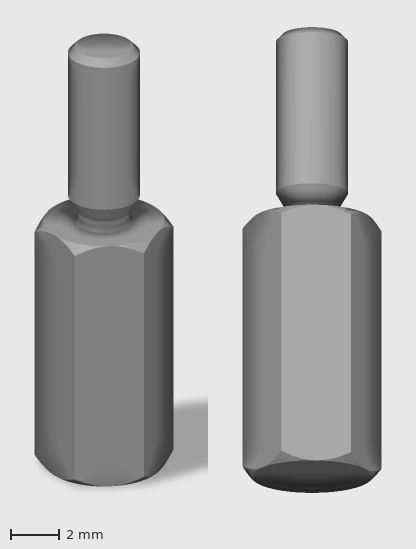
import cadquery as cq
import math

across_flats = 5.0
body_length = 11.0
chamfer_face_diameter = across_flats
chamfer_angle = 45.0

stud_diameter = 3.0
stud_length = 8.0
stud_tip_diameter = 2.4

neck_diameter = 2.2
undercut_length = 1.2
undercut_angle = 30.0
undercut_radius = 0.2

across_corners = across_flats / math.cos(math.radians(30))
corner_radius = across_corners / 2
total_length = body_length + stud_length


def make_body():
    """Hexagonal prism with the corners turned off conically at both ends."""
    prism = cq.Workplane("XY").polygon(6, across_corners).extrude(body_length)
    face_radius = chamfer_face_diameter / 2
    chamfer_height = (corner_radius - face_radius) * math.tan(math.radians(chamfer_angle))
    turned_envelope = (
        cq.Workplane("XZ")
        .moveTo(0, 0)
        .lineTo(face_radius, 0)
        .lineTo(corner_radius, chamfer_height)
        .lineTo(corner_radius, body_length - chamfer_height)
        .lineTo(face_radius, body_length)
        .lineTo(0, body_length)
        .close()
        .revolve(360, (0, 0, 0), (0, 1, 0))
    )
    return prism.intersect(turned_envelope)


def make_stud():
    """Stud with a chamfered tip and a filleted undercut, revolved about Z."""
    stud_radius = stud_diameter / 2
    tip_radius = stud_tip_diameter / 2
    tip_chamfer = stud_radius - tip_radius
    neck_radius = neck_diameter / 2
    cone_tilt = math.radians(undercut_angle)

    fillet_center_radius = neck_radius + undercut_radius
    fillet_top = body_length + undercut_radius
    root_mid_offset = undercut_radius * math.sqrt(0.5)
    root_mid = (fillet_center_radius - root_mid_offset, fillet_top - root_mid_offset)

    cone_top = body_length + undercut_length
    cone_height = (stud_radius - neck_radius) / math.tan(cone_tilt)
    cone_fillet_start = cone_top - cone_height - undercut_radius * math.tan(cone_tilt / 2)

    def cone_fillet_point(angle):
        return (
            fillet_center_radius - undercut_radius * math.cos(angle),
            cone_fillet_start + undercut_radius * math.sin(angle),
        )

    return (
        cq.Workplane("XZ")
        .moveTo(0, body_length)
        .lineTo(fillet_center_radius, body_length)
        .threePointArc(root_mid, (neck_radius, fillet_top))
        .lineTo(neck_radius, cone_fillet_start)
        .threePointArc(cone_fillet_point(cone_tilt / 2), cone_fillet_point(cone_tilt))
        .lineTo(stud_radius, cone_top)
        .lineTo(stud_radius, total_length - tip_chamfer)
        .lineTo(tip_radius, total_length)
        .lineTo(0, total_length)
        .close()
        .revolve(360, (0, 0, 0), (0, 1, 0))
    )


result = make_body().union(make_stud())